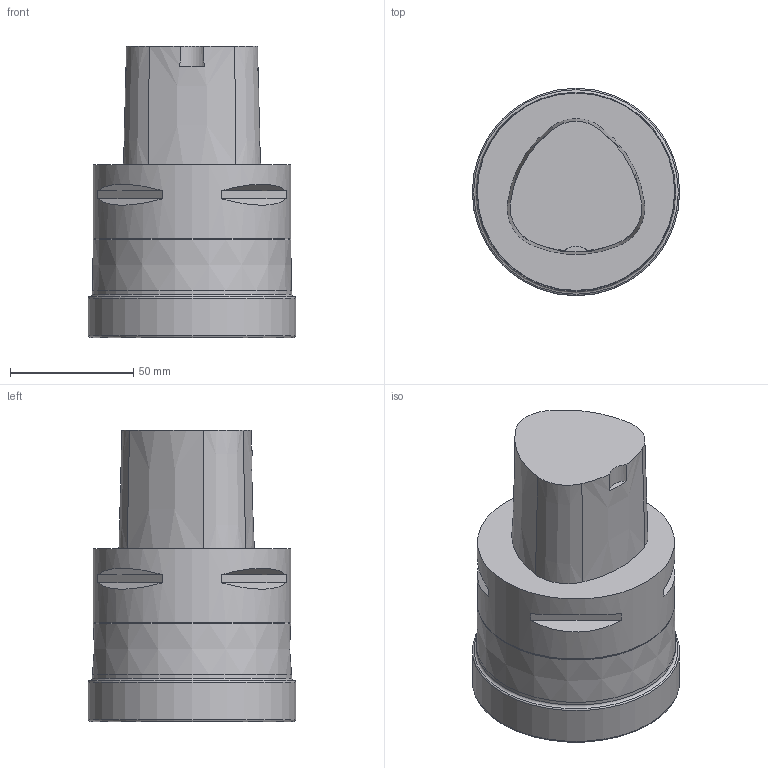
import cadquery as cq
import math

SHANK_HEIGHT = 48.0
SHANK_TIP = 29.6
SHANK_SIDE = 25.4
CORNER_OFFSET = 13.0
SHANK_TAPER = math.degrees(math.atan(1 / 40))
LOBES = 3
FIRST_SIDE_ANGLE = -90.0

NOTCH_DEPTH = 8.0
NOTCH_RADIUS = 7.2
NOTCH_CENTER_Y = -29.4

FLANGE_RADIUS = 40.0
FLANGE_HEIGHT = 30.0
GROOVE_COUNT = 4
GROOVE_MID_DEPTH = 12.1
GROOVE_FLOOR_WIDTH = 3.3
GROOVE_FLOOR_RADIUS = 35.5
GROOVE_WALL_ANGLE = 30.0
GROOVE_OVERRUN = 1.0

COLLAR_BOTTOM = -70.0
SEAM_CHAMFER = 0.3
CONE_RADIUS = 40.35
CONE_BOTTOM = -51.0
NECK_RADIUS = 40.4
NECK_FILLET = 1.05
SHOULDER_Z = -53.4
COLLAR_RADIUS = 42.015
BOTTOM_FILLET = 0.8


def polar(radius, angle):
    """Plan vector at an angle in degrees from +X."""
    direction = math.radians(angle)
    return cq.Vector(radius * math.cos(direction), radius * math.sin(direction))


def shank_outline():
    """Closed outline of the shank base, with one corner on +Y and a side facing -Y."""
    lobe_angle = 360 / LOBES
    corner_radius = SHANK_TIP - CORNER_OFFSET

    corner_along = CORNER_OFFSET * math.cos(math.pi / LOBES)
    corner_across = CORNER_OFFSET * math.sin(math.pi / LOBES)
    radius_gap = SHANK_SIDE - corner_radius
    side_offset = (CORNER_OFFSET**2 - radius_gap**2) / (2 * (radius_gap - corner_along))
    side_radius = SHANK_SIDE + side_offset
    half_spread = math.degrees(math.atan2(corner_across, side_offset + corner_along))

    def side_point(side_angle, turn):
        return polar(-side_offset, side_angle) + polar(side_radius, side_angle + turn)

    start = side_point(FIRST_SIDE_ANGLE, -half_spread)
    outline = cq.Workplane("XY").moveTo(start.x, start.y)
    for lobe in range(LOBES):
        angle = FIRST_SIDE_ANGLE + lobe * lobe_angle
        side_end = side_point(angle, half_spread)
        corner_tip = polar(SHANK_TIP, angle + lobe_angle / 2)
        corner_end = side_point(angle + lobe_angle, -half_spread)
        outline = outline.threePointArc(side_point(angle, 0), side_end)
        outline = outline.threePointArc(corner_tip, corner_end)
    return outline.close()


def groove_cutter():
    """Straight trapezoidal bar across the flange on its +X side."""
    outer = FLANGE_RADIUS + GROOVE_OVERRUN
    depth = outer - GROOVE_FLOOR_RADIUS
    half_floor = GROOVE_FLOOR_WIDTH / 2
    half_mouth = half_floor + depth * math.tan(math.radians(GROOVE_WALL_ANGLE))
    return (
        cq.Workplane("XZ")
        .polyline([
            (GROOVE_FLOOR_RADIUS, -GROOVE_MID_DEPTH - half_floor),
            (outer, -GROOVE_MID_DEPTH - half_mouth),
            (outer, -GROOVE_MID_DEPTH + half_mouth),
            (GROOVE_FLOOR_RADIUS, -GROOVE_MID_DEPTH + half_floor),
        ])
        .close()
        .extrude(FLANGE_RADIUS, both=True)
    )


def make_holder():
    """Tapered shank and grooved flange in one piece, flange face at Z = 0."""
    shank = shank_outline().extrude(SHANK_HEIGHT, taper=SHANK_TAPER)
    notch = (
        cq.Workplane("XY", origin=(0, NOTCH_CENTER_Y, SHANK_HEIGHT - NOTCH_DEPTH))
        .circle(NOTCH_RADIUS)
        .extrude(NOTCH_DEPTH)
    )
    flange = cq.Workplane("XY").circle(FLANGE_RADIUS).extrude(-FLANGE_HEIGHT)
    body = flange.union(shank.cut(notch))
    cutter = groove_cutter()
    groove_pitch = 360 / GROOVE_COUNT
    for groove in range(GROOVE_COUNT):
        angle = (groove + 0.5) * groove_pitch
        body = body.cut(cutter.rotate((0, 0, 0), (0, 0, 1), angle))
    return body


def make_collar():
    """Turned collar: slightly conical upper part, neck, then a rounded wide ring."""
    shoulder_radius = NECK_RADIUS + NECK_FILLET
    ring_round = COLLAR_RADIUS - shoulder_radius
    arc_mid = math.sin(math.pi / 4)
    neck_arc_mid = (
        shoulder_radius - NECK_FILLET * arc_mid,
        SHOULDER_Z + NECK_FILLET * (1 - arc_mid),
    )
    ring_arc_mid = (
        shoulder_radius + ring_round * arc_mid,
        SHOULDER_Z - ring_round * (1 - arc_mid),
    )
    body = (
        cq.Workplane("XZ")
        .moveTo(0, -FLANGE_HEIGHT)
        .lineTo(FLANGE_RADIUS - SEAM_CHAMFER, -FLANGE_HEIGHT)
        .lineTo(FLANGE_RADIUS, -FLANGE_HEIGHT - SEAM_CHAMFER)
        .lineTo(CONE_RADIUS, CONE_BOTTOM)
        .lineTo(NECK_RADIUS, SHOULDER_Z + NECK_FILLET)
        .threePointArc(neck_arc_mid, (shoulder_radius, SHOULDER_Z))
        .threePointArc(ring_arc_mid, (COLLAR_RADIUS, SHOULDER_Z - ring_round))
        .lineTo(COLLAR_RADIUS, COLLAR_BOTTOM)
        .lineTo(0, COLLAR_BOTTOM)
        .close()
        .revolve(360, (0, 0, 0), (0, 1, 0))
    )
    return body.faces("<Z").edges().fillet(BOTTOM_FILLET)


holder = make_holder()
collar = make_collar()
result = cq.Compound.makeCompound([holder.val(), collar.val()])